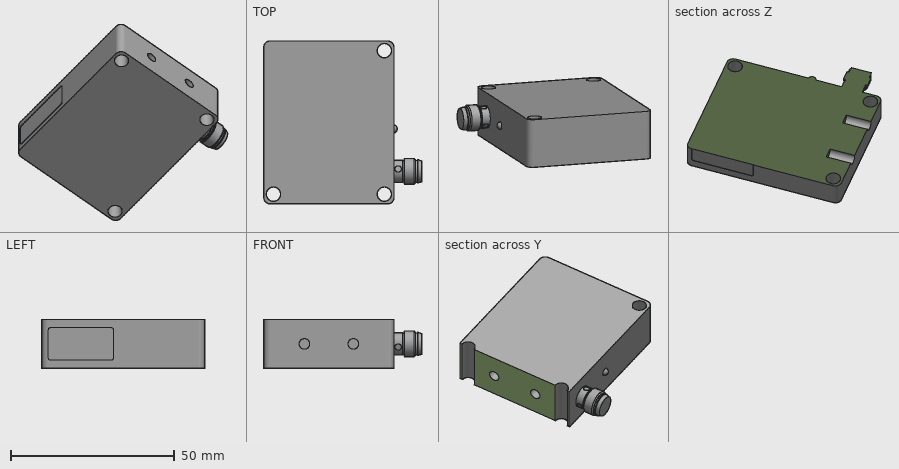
import cadquery as cq
import math

body_x = 40.0
body_y = 50.0
body_z = 15.0
corner_radius = 2.0
mid_height = body_z / 2

mount_dia = 4.3
mount_inset = 3.0

side_hole_dia = 3.25
side_hole_depth = 8.0
side_hole_first_x = 12.5
side_hole_pitch = 15.0
side_hole_count = 2

window_y = 20.0
window_z = 10.0
window_depth = 0.1
window_radius = 0.75

connector_y = -15.0
connector_length = 8.5
sleeve_dia = 6.9
sleeve_length = 2.5
neck_dia = 6.6
nut_start = 3.0
nut_end = 6.5
nut_dia = 8.0
nut_start_chamfer = 0.25
nut_end_chamfer = 0.4
groove_dia = 6.7
nose_start = 7.1
nose_dia = 7.2
nose_land = 0.2
nose_tip_dia = 6.4

mark_dia = 2.0
mark_depth = 0.25
mark_count = 3
mark_first_angle = 13.0
mark_x = 1.25

dome_y = -2.0
dome_dia = 2.5
dome_height = 1.0


def make_housing():
    housing = cq.Workplane("XY").box(body_x, body_y, body_z, centered=(False, True, False))
    return housing.edges("|Z").fillet(corner_radius)


def cut_mount_holes(part):
    left = mount_inset
    right = body_x - mount_inset
    back = body_y / 2 - mount_inset
    places = [(left, -back), (right, -back), (right, back)]
    drills = cq.Workplane("XY").pushPoints(places).circle(mount_dia / 2).extrude(body_z)
    return part.cut(drills)


def cut_side_holes(part):
    places = [(side_hole_first_x + i * side_hole_pitch, mid_height) for i in range(side_hole_count)]
    plane = cq.Workplane("XZ", origin=(0, -body_y / 2, 0))
    drills = plane.pushPoints(places).circle(side_hole_dia / 2).extrude(-side_hole_depth)
    return part.cut(drills)


def cut_window(part):
    edge_y = body_y / 2 - corner_radius
    centre = (window_depth / 2, edge_y - window_y / 2, mid_height)
    window = cq.Workplane("XY").box(window_depth, window_y, window_z).edges("|X").fillet(window_radius)
    return part.cut(window.translate(centre))


def make_connector():
    outline = [
        (0, 0),
        (0, sleeve_dia / 2),
        (sleeve_length, sleeve_dia / 2),
        (sleeve_length, neck_dia / 2),
        (nut_start, neck_dia / 2),
        (nut_start, nut_dia / 2 - nut_start_chamfer),
        (nut_start + nut_start_chamfer, nut_dia / 2),
        (nut_end - nut_end_chamfer, nut_dia / 2),
        (nut_end, nut_dia / 2 - nut_end_chamfer),
        (nut_end, groove_dia / 2),
        (nose_start, groove_dia / 2),
        (nose_start, nose_dia / 2),
        (nose_start + nose_land, nose_dia / 2),
        (connector_length, nose_tip_dia / 2),
        (connector_length, 0),
    ]
    connector = cq.Workplane("XY").polyline(outline).close().revolve(360, (0, 0), (1, 0))

    floor = sleeve_dia / 2 - mark_depth
    for i in range(mark_count):
        angle = mark_first_angle + i * 360 / mark_count
        mark = cq.Workplane("XY", origin=(mark_x, 0, floor)).circle(mark_dia / 2).extrude(sleeve_dia)
        connector = connector.cut(mark.rotate((0, 0, 0), (1, 0, 0), -angle))
    return connector.translate((body_x, connector_y, mid_height))


def make_dome():
    rim_radius = dome_dia / 2
    sphere_radius = (rim_radius**2 + dome_height**2) / (2 * dome_height)
    middle_angle = math.asin(rim_radius / sphere_radius) / 2
    middle_x = dome_height - sphere_radius * (1 - math.cos(middle_angle))
    middle_y = sphere_radius * math.sin(middle_angle)
    section = (
        cq.Workplane("XY")
        .lineTo(0, rim_radius)
        .threePointArc((middle_x, middle_y), (dome_height, 0))
        .close()
    )
    dome = section.revolve(360, (0, 0), (1, 0))
    return dome.translate((body_x, dome_y, mid_height))


housing = make_housing().union(make_connector()).union(make_dome())
result = cut_window(cut_side_holes(cut_mount_holes(housing)))